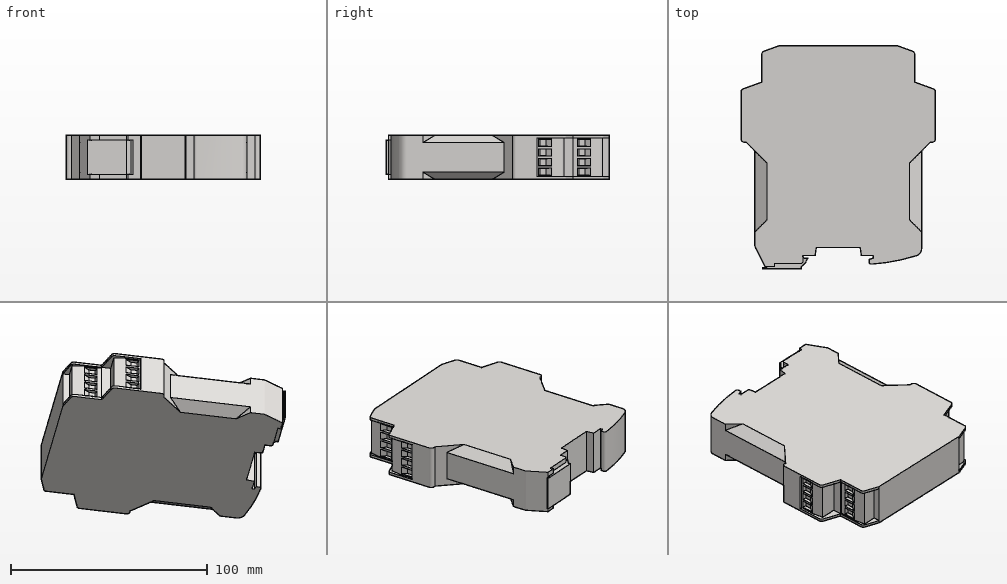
import cadquery as cq
import math

overall_height = 113.6
overall_width = 99.0
thickness = 22.6
half_width = overall_width / 2
half_thick = thickness / 2

crown_half = 30.1
step_half = 39.0
step_y = 95.1
shoulder_bottom = 64.4
shoulder_slope = math.tan(math.radians(20))
upper_corner_y = overall_height - (step_half - crown_half) * shoulder_slope
lower_corner_y = step_y - (half_width - step_half) * shoulder_slope
shoulder_radius = 1.7

flare_half = 46.8
waist_half = 36.2
base_half = 42.5
waist_top = shoulder_bottom - (flare_half - waist_half)
waist_bottom = 25.0
base_top = waist_bottom - (base_half - waist_half)
grip_half_thick = 7.5

foot_bottom = 1.1
foot_knee_y = 11.5
foot_knee_radius = 1.7
foot_left = -37.3
foot_step = -32.4
foot_step_y = 2.7
foot_chamfer = 0.8
foot_right = -18.0

rail_seat_y = 6.7
rail_roof_y = 10.8
rail_half_roof = 11.1
rail_half_seat = 11.7

hook_root = 17.7
hook_root_y = 5.6
hook_tip = 15.7
hook_tip_y = 4.9
hook_bottom = 2.4
hook_radius = 1.1
belly_start = 17.0
belly_middle = (26.7, 3.5)
belly_end = (39.4, 6.6)
heel_middle = (41.6, 8.0)
heel_top = 10.5

clip_half_thick = 8.7
clip_left = -38.6
clip_flange = 0.8
clip_neck = -36.5
clip_right = -18.7
clip_shoulder_y = 1.1
clip_nose_foot = (-16.4, 3.3)
clip_nose_side_y = 4.0
clip_nose = (-15.3, 5.5)
clip_bevel = 0.7
clip_inside_y = 8.0

terminal_half_thick = 9.9
terminal_top = 110.2
tier_pitch = 19.8
lip_length = 0.9
ramp_end_drop = 5.5
ramp_rise = 0.8
upper_inset = 0.7
lower_inset = 1.1
lower_recess_end = 76.8
cut_clearance = 1.1

ways = 4
way_pitch = 4.9
funnel_depth = 1.6
funnel_mouth = (104.0, 97.4)
funnel_throat = (101.2, 98.0)
funnel_mouth_height = 3.7
funnel_throat_height = 3.3


def extruded(outline, half_height):
    """Close an XY outline and extrude it equally to both sides of Z = 0."""
    return outline.close().extrude(half_height, both=True)


def mirrored(points):
    """The same points on the opposite side of the centre plane, in reverse order."""
    return [(-x, y) for x, y in reversed(points)]


def round_edges(body, points, radius):
    """Round the Z edges that pass through the given XY points."""
    for x, y in points:
        body = body.edges("|Z").edges(cq.NearestToPointSelector((x, y, 0))).fillet(radius)
    return body


def housing():
    """Full-thickness body with its shoulders, waist and rail foot."""
    right_side = [
        (base_half, base_top),
        (waist_half, waist_bottom),
        (waist_half, waist_top),
        (flare_half, shoulder_bottom),
        (half_width, shoulder_bottom),
        (half_width, lower_corner_y),
        (step_half, step_y),
        (step_half, upper_corner_y),
        (crown_half, overall_height),
    ]
    foot = [
        (-base_half, foot_knee_y),
        (foot_left, foot_bottom),
        (foot_step, foot_bottom),
        (foot_step, foot_step_y),
        (foot_right - foot_chamfer, foot_step_y),
        (foot_right, foot_step_y + foot_chamfer),
        (foot_right, rail_seat_y),
    ]
    rail = [
        (-rail_half_seat, rail_seat_y),
        (-rail_half_roof, rail_roof_y),
        (rail_half_roof, rail_roof_y),
        (rail_half_seat, rail_seat_y),
    ]
    hook = [
        (hook_root, rail_seat_y),
        (hook_root, hook_root_y),
        (hook_tip, hook_tip_y),
        (hook_tip, hook_bottom),
        (belly_start, hook_bottom),
    ]
    outline = (
        cq.Workplane("XY")
        .polyline(mirrored(right_side) + foot + rail + hook)
        .threePointArc(belly_middle, belly_end)
        .threePointArc(heel_middle, (base_half, heel_top))
        .polyline(right_side, includeCurrent=True)
    )
    body = extruded(outline, half_thick)
    corners = [
        (half_width, shoulder_bottom),
        (half_width, lower_corner_y),
        (step_half, upper_corner_y),
    ]
    body = round_edges(body, corners + mirrored(corners), shoulder_radius)
    body = round_edges(body, [(-base_half, foot_knee_y)], foot_knee_radius)
    return round_edges(body, [(hook_tip, hook_bottom)], hook_radius)


def grips():
    """Bar across the waist whose sides taper to a thinner outer edge."""
    grip_top = shoulder_bottom - (flare_half - base_half)
    right_edge = [
        (waist_half, -half_thick),
        (base_half, -grip_half_thick),
        (base_half, grip_half_thick),
        (waist_half, half_thick),
    ]
    section = cq.Workplane("XZ", origin=(0, grip_top, 0)).polyline(right_edge + mirrored(right_edge))
    return section.close().extrude(grip_top - base_top)


def rail_clip():
    """Clip plate under the left foot, with a nose that reaches under the rail."""
    outline = cq.Workplane("XY").polyline([
        (clip_left, 0),
        (clip_right, 0),
        (clip_right, clip_shoulder_y),
        clip_nose_foot,
        (clip_nose_foot[0], clip_nose_side_y),
        clip_nose,
        (foot_right + clip_bevel, clip_nose[1]),
        (foot_right, clip_nose[1] + clip_bevel),
        (foot_right, clip_inside_y),
        (clip_neck, clip_inside_y),
        (clip_neck, clip_flange),
        (clip_left, clip_flange),
    ])
    return extruded(outline, clip_half_thick)


def terminal_recess(block_top, face, floor, top, bottom):
    """Space in front of one terminal block on the -X side, between the housing cheeks."""
    outside = -half_width - cut_clearance
    lip = face + ramp_rise
    outline = cq.Workplane("XY").polyline([
        (outside, top),
        (floor, top),
        (floor, block_top),
        (lip, block_top),
        (lip, block_top - lip_length),
        (face, block_top - ramp_end_drop),
        (face, bottom),
        (outside, bottom),
    ])
    return extruded(outline, terminal_half_thick)


def wire_funnel(face, drop, z):
    """Tapered pocket going in from a terminal face on the -X side."""
    mouth_top, mouth_bottom = funnel_mouth
    throat_top, throat_bottom = funnel_throat
    mouth_y = (mouth_top + mouth_bottom) / 2
    throat_y = (throat_top + throat_bottom) / 2
    return (
        cq.Workplane("YZ", origin=(face, mouth_y - drop, z))
        .rect(mouth_top - mouth_bottom, funnel_mouth_height)
        .workplane(offset=funnel_depth)
        .center(throat_y - mouth_y, 0)
        .rect(throat_top - throat_bottom, funnel_throat_height)
        .loft(ruled=True)
    )


def cut_both_sides(body, tool):
    """Cut the tool and its mirror image across the centre plane."""
    return body.cut(tool).cut(tool.mirror("YZ"))


result = housing().union(grips()).union(rail_clip())

tiers = [
    (0, upper_inset - step_half, -crown_half, overall_height, step_y),
    (tier_pitch, lower_inset - half_width, -step_half, step_y, lower_recess_end),
]
for drop, face, floor, top, bottom in tiers:
    result = cut_both_sides(result, terminal_recess(terminal_top - drop, face, floor, top, bottom))
    for way in range(ways):
        z = (way - (ways - 1) / 2) * way_pitch
        result = cut_both_sides(result, wire_funnel(face, drop, z))